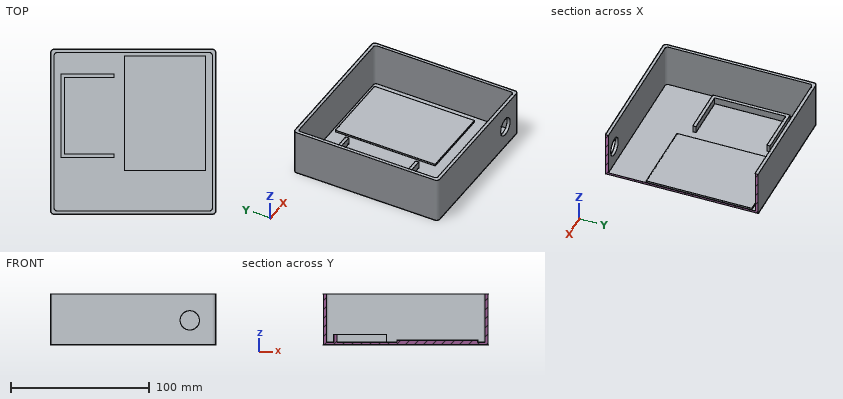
import cadquery as cq

side = 119.4
height = 36.9
wall = 2.5
floor = 2.0
outer_corner_radius = 2.5
inner_corner_radius = 2.0
inner_half = side / 2 - wall

pad_length_x = 58.5
pad_length_y = 82.5
pad_height = 1.4
pad_right = inner_half - 2 * wall
pad_back = inner_half - wall

rib_length_x = 38.1
rib_length_y = 60.4
rib_thickness = 2.5
rib_height = 5.5
rib_left = -inner_half + 2 * wall
rib_back = 41.8

hole_diameter = 14.0
hole_x = 40.8
hole_z = 17.7


def floor_block(left, back, length_x, length_y, block_height):
    """Block standing on the floor, placed by its left and back edges."""
    return (
        cq.Workplane("XY")
        .box(length_x, length_y, block_height, centered=False)
        .translate((left, back - length_y, floor))
    )


def make_box():
    outer = cq.Workplane("XY").rect(side, side).extrude(height).edges("|Z").fillet(outer_corner_radius)
    cavity = (
        cq.Workplane("XY", origin=(0, 0, floor))
        .rect(2 * inner_half, 2 * inner_half)
        .extrude(height - floor)
        .edges("|Z")
        .fillet(inner_corner_radius)
    )
    return outer.cut(cavity)


def make_rib():
    block = floor_block(rib_left, rib_back, rib_length_x, rib_length_y, rib_height)
    opening = floor_block(
        rib_left + rib_thickness,
        rib_back - rib_thickness,
        rib_length_x - rib_thickness,
        rib_length_y - 2 * rib_thickness,
        rib_height,
    )
    return block.cut(opening)


def make_front_hole():
    return (
        cq.Workplane("XZ", origin=(hole_x, -side / 2, hole_z))
        .circle(hole_diameter / 2)
        .extrude(-wall)
    )


pad = floor_block(pad_right - pad_length_x, pad_back, pad_length_x, pad_length_y, pad_height)
result = make_box().union(pad).union(make_rib()).cut(make_front_hole())